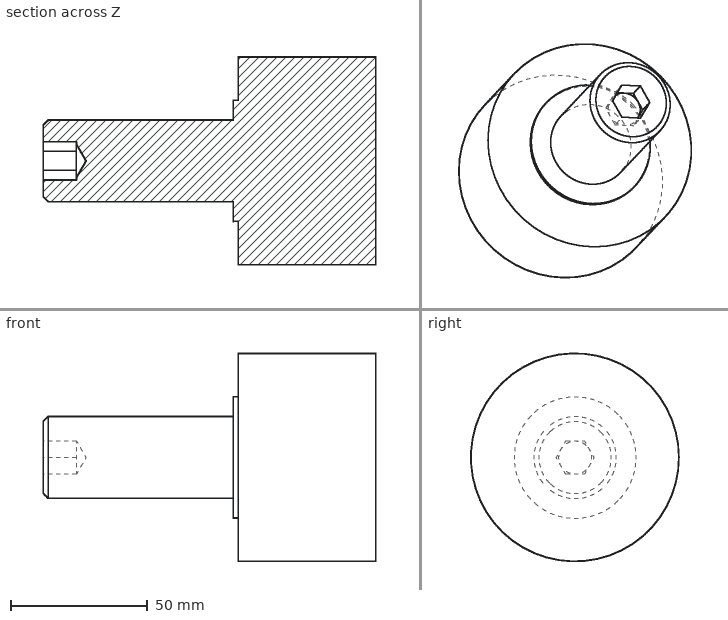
import cadquery as cq
import math

total_length = 121.5
roller_diameter = 76.0
roller_length = 50.3
collar_diameter = 44.5
collar_length = 1.8
stud_diameter = 30.0
stud_chamfer = 1.8

socket_across_flats = 12.0
socket_depth = 12.2
socket_point_angle = 120.0

roller_start = total_length - roller_length
collar_start = roller_start - collar_length


def cylinder_along_x(start, length, diameter):
    return cq.Workplane("YZ").workplane(offset=start).circle(diameter / 2).extrude(length)


def hex_socket():
    across_corners = socket_across_flats / math.cos(math.pi / 6)
    prism = cq.Workplane("YZ").polygon(6, across_corners).extrude(socket_depth)
    cone_radius = socket_across_flats / 2
    cone_height = cone_radius / math.tan(math.radians(socket_point_angle / 2))
    point = (
        cq.Workplane("XY")
        .moveTo(socket_depth, 0)
        .lineTo(socket_depth, cone_radius)
        .lineTo(socket_depth + cone_height, 0)
        .close()
        .revolve(360, (0, 0, 0), (1, 0, 0))
    )
    return prism.union(point)


stud = cylinder_along_x(0, collar_start, stud_diameter).faces("<X").chamfer(stud_chamfer)
collar = cylinder_along_x(collar_start, collar_length, collar_diameter)
roller = cylinder_along_x(roller_start, roller_length, roller_diameter)

result = stud.union(collar).union(roller).cut(hex_socket())